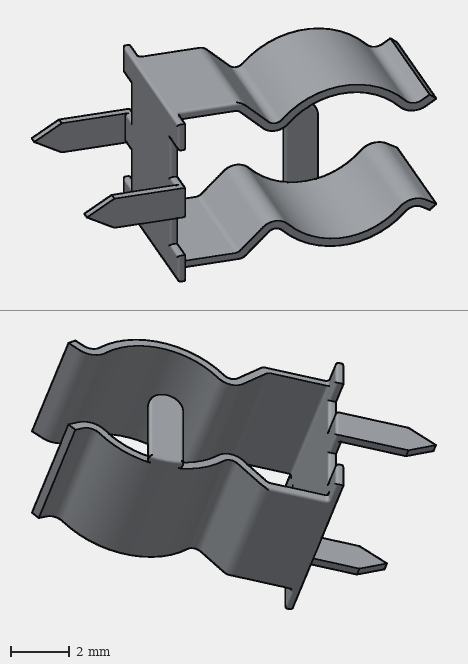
import cadquery as cq
import math

overall_length = 12.9
sheet = 0.3
edge_round = 0.1
corner_fillet = 0.12

plate_size = 6.1
neck_width = 4.33
wing_inner_z = 2.04
tab_height = 1.14
pin_shoulder = 2.3
pin_length = 3.29

bend_radius = 0.58
slope_angle = 43
jaw_end_angle = 46
jaw_radius = 3.1
jaw_center_y = 6.27
rear_valley_radius = 0.35
front_valley_radius = 0.48
lip_angle = 31
lip_end_y = overall_length - pin_length
lip_top_y = 9.37

finger_width = 1.23
finger_y = 6.18
finger_top_z = 0.25

half_plate = plate_size / 2
half_neck = neck_width / 2
half_tab = tab_height / 2
tolerance = 0.001


def polar(center, radius, degrees):
    """Point at an angle on a circle in the YZ plane, measured from +Y toward +Z."""
    angle = math.radians(degrees)
    return (center[0] + radius * math.cos(angle), center[1] + radius * math.sin(angle))


jaw_rear = 90 + jaw_end_angle
jaw_front = 90 - jaw_end_angle
jaw_center = (jaw_center_y, 0)
rear_valley = polar(jaw_center, jaw_radius + rear_valley_radius, jaw_rear)
front_valley = polar(jaw_center, jaw_radius + front_valley_radius, jaw_front)
bend_center_z = half_plate - bend_radius
slope = math.radians(slope_angle)
valley_rise = rear_valley[1] - bend_center_z
slope_run = (bend_radius + rear_valley_radius - valley_rise * math.cos(slope)) / math.sin(slope)
flat_end_y = rear_valley[0] - slope_run
bend_center = (flat_end_y, bend_center_z)


def make_plate():
    """H-shaped plate whose two middle tabs carry the pins."""
    plate = cq.Workplane("XY").box(plate_size, sheet, plate_size, centered=(True, False, True))
    notch_depth = half_plate - half_neck
    notch_height = wing_inner_z - half_tab
    for x_side in (-1, 1):
        for z_side in (-1, 1):
            notch = cq.Workplane("XY").box(notch_depth, 3 * sheet, notch_height)
            x = x_side * (half_neck + notch_depth / 2)
            z = z_side * (half_tab + notch_height / 2)
            plate = plate.cut(notch.translate((x, 0, z)))
    return plate


def make_arm_flats():
    """Straight roots of both arms, running out from the plate's outer face to their bends."""
    flat = cq.Workplane("XY").box(neck_width, flat_end_y, sheet, centered=(True, False, True))
    flat = flat.translate((0, 0, half_plate - sheet / 2))
    return flat.union(flat.mirror("XY"))


def is_root_corner(edge):
    """Inside corner between the plate and an arm: across the arm or along its side."""
    middle = edge.Center()
    across = abs(middle.x) < tolerance and abs(abs(middle.z) - half_plate + sheet) < tolerance
    beside = abs(abs(middle.x) - half_neck) < tolerance and abs(middle.z) > wing_inner_z
    return abs(middle.y - sheet) < tolerance and (across or beside)


def is_inner_rim(edge):
    """Rim of the plate's inner face, leaving out the borders of the root fillets."""
    middle = edge.Center()
    in_face = edge.geomType() == "LINE" and abs(middle.y - sheet) < tolerance
    x_rim = any(abs(abs(middle.x) - x) < tolerance for x in (half_neck, half_plate))
    z_rim = any(abs(abs(middle.z) - z) < tolerance for z in (half_tab, wing_inner_z, half_plate))
    return in_face and (x_rim or z_rim)


def make_base():
    base = make_plate().union(make_arm_flats())
    base = base.newObject(base.edges().filter(is_root_corner).vals()).fillet(corner_fillet)
    base = base.newObject(base.edges().filter(is_inner_rim).vals()).fillet(edge_round)
    return base.faces("<Y").edges().fillet(edge_round)


def make_pin():
    """Pointed pin at +X, rising from the rounded inner edge of its tab."""
    outline = [
        (sheet - edge_round, half_tab),
        (-pin_shoulder, half_tab),
        (-pin_length, 0),
        (-pin_shoulder, -half_tab),
        (sheet - edge_round, -half_tab),
    ]
    pin = cq.Workplane("YZ").polyline(outline).close().extrude(sheet)
    return pin.translate((half_plate - sheet, 0, 0))


def make_spring():
    """Upper arm beyond its flat root: bend, slope, valley, jaw, valley and lip."""

    def bends(depth):
        """Start, middle and end of each bend, on the surface at this depth below the top."""
        arcs = [
            (bend_center, bend_radius - depth, 90, 90 - slope_angle),
            (rear_valley, rear_valley_radius + depth, 270 - slope_angle, 270 + jaw_end_angle),
            (jaw_center, jaw_radius - depth, jaw_rear, jaw_front),
            (front_valley, front_valley_radius + depth, 270 - jaw_end_angle, 270 + lip_angle),
        ]
        return [
            [polar(center, radius, angle) for angle in (start, (start + end) / 2, end)]
            for center, radius, start, end in arcs
        ]

    def lip_point(lip_start, y):
        return (y, lip_start[1] + (y - lip_start[0]) * math.tan(math.radians(lip_angle)))

    root_bend, *upper_bends = bends(0)
    root_start, root_middle, root_end = root_bend
    outline = cq.Workplane("YZ").moveTo(*root_start).threePointArc(root_middle, root_end)
    outline = outline.lineTo(*upper_bends[0][0])
    for _, middle, end in upper_bends:
        outline = outline.threePointArc(middle, end)
    outline = outline.lineTo(*lip_point(upper_bends[-1][2], lip_top_y))

    root_bend, *lower_bends = bends(sheet)
    root_start, root_middle, root_end = root_bend
    lower_lip_start = lower_bends[-1][2]
    outline = outline.lineTo(*lip_point(lower_lip_start, lip_end_y)).lineTo(*lower_lip_start)
    for start, middle, _ in reversed(lower_bends):
        outline = outline.threePointArc(middle, start)
    outline = outline.lineTo(*root_end).threePointArc(root_middle, root_start)
    return outline.close().extrude(half_neck, both=True)


def make_round_runout():
    """Cutter that carries the rounded edge of the flat straight on until it leaves the bend."""
    bar = cq.Workplane("XZ").rect(2 * edge_round, 2 * edge_round).extrude(-bend_radius)
    rod = cq.Workplane("XZ").center(-edge_round, -edge_round).circle(edge_round).extrude(-bend_radius)
    return bar.cut(rod).translate((half_neck, flat_end_y, half_plate))


def make_finger():
    """Round-topped stop finger whose foot follows the outside of the lower jaw."""
    finger_radius = finger_width / 2
    rear_y = finger_y - finger_radius
    front_y = finger_y + finger_radius
    shoulder_z = finger_top_z - finger_radius
    finger = (
        cq.Workplane("YZ")
        .moveTo(rear_y, -jaw_radius)
        .lineTo(rear_y, shoulder_z)
        .threePointArc((finger_y, finger_top_z), (front_y, shoulder_z))
        .lineTo(front_y, -jaw_radius)
        .close()
        .extrude(-sheet)
    )
    jaw_disc = cq.Workplane("YZ").center(*jaw_center).circle(jaw_radius).extrude(-sheet)
    finger = finger.intersect(jaw_disc)
    finger = finger.faces("<X").edges().fillet(edge_round)
    finger = finger.faces(">X").edges("not <Z").fillet(edge_round)
    return finger.translate((-half_neck, 0, 0))


result = make_base()
pin = make_pin()
spring = make_spring()
runout = make_round_runout()
spring = spring.cut(runout).cut(runout.mirror("YZ"))
for extra in (pin, pin.mirror("YZ"), spring, spring.mirror("XY"), make_finger()):
    result = result.union(extra)